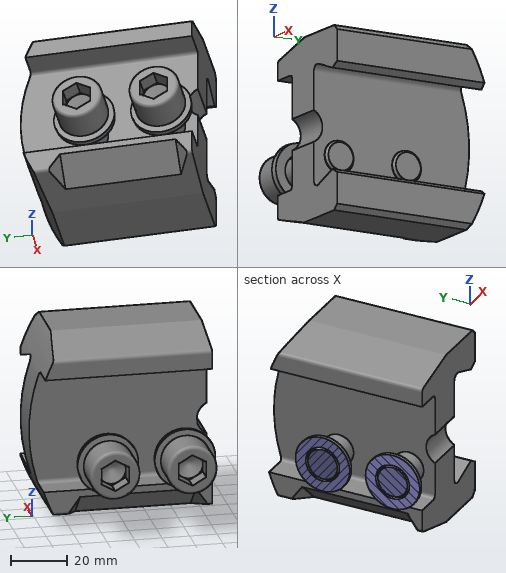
import cadquery as cq
import math

block_height = 68.0
block_width = 41.0
end_radius = 64.5

web_left = 10.0
web_right = 25.0
lip_tip_fillet = 1.5
inner_corner_fillet = 1.5
jaw_root_fillet = 2.25

slope_start = 18.6
slope_angle = 15.0
upper_lip_z = 22.0
lower_lip_z = -20.1

outer_chamfer = 2.0
jaw_angle = 20.0
jaw_lead_angle = 30.0
jaw_corner_z = 20.4
jaw_root_z = 23.25

groove_radius = 6.5
groove_center_y = -3.0

relief_start_z = -22.8
relief_angle = 43.0
relief_length = 42.0
relief_end_y = 6.0
relief_end_run = 0.97
relief_tool_height = 6.8

screw_z = -10.0
first_screw_y = 10.55
screw_pitch = 28.0
screw_count = 2
screw_head_x = -15.9
head_diameter = 18.0
head_length = 12.05
head_fillet = 1.2
shank_diameter = 12.0
shank_length = 30.0
tip_chamfer_radial = 0.8
tip_chamfer_length = 1.35
socket_flats = 10.0
socket_depth = 6.0
socket_point_angle = 120.0

washer_gap = 0.3
washer_outer_radius = 11.0
washer_inner_radius = 6.8
washer_thickness = 2.25
washer_cone_angle = 7.0

head_seat_x = screw_head_x + head_length
screw_ys = [first_screw_y + i * screw_pitch for i in range(screw_count)]


def tan_deg(angle):
    return math.tan(math.radians(angle))


def sin_deg(angle):
    return math.sin(math.radians(angle))


def cos_deg(angle):
    return math.cos(math.radians(angle))


def profile_half(lip_z, side):
    """Corners of one flange, from its left inner corner round to its jaw root; side is +1 up, -1 down."""
    top = block_height / 2
    lip_tip_z = top - slope_start * tan_deg(slope_angle)
    undercut = tan_deg(jaw_angle)
    lead = tan_deg(jaw_lead_angle)
    crest_x = (jaw_root_z - jaw_corner_z + web_right * undercut + block_width * lead) / (undercut + lead)
    crest_z = jaw_corner_z - (block_width - crest_x) * lead
    return [
        (web_left, lip_z),
        (0, lip_z),
        (0, side * lip_tip_z),
        (slope_start, side * top),
        (block_width - outer_chamfer, side * top),
        (block_width, side * (top - outer_chamfer)),
        (block_width, side * jaw_corner_z),
        (crest_x, side * crest_z),
        (web_right, side * jaw_root_z),
    ]


def make_profile_bar():
    upper = profile_half(upper_lip_z, 1)
    lower = profile_half(lower_lip_z, -1)
    bar = cq.Workplane("XZ").polyline(upper + lower[::-1]).close().extrude(-end_radius)
    for half in (upper, lower):
        inner_corner, lip_tip, jaw_root = half[0], half[2], half[-1]
        fillets = (
            (inner_corner, inner_corner_fillet),
            (lip_tip, lip_tip_fillet),
            (jaw_root, jaw_root_fillet),
        )
        for (x, z), radius in fillets:
            edge = cq.selectors.NearestToPointSelector((x, end_radius / 2, z))
            bar = bar.edges("|Y").edges(edge).fillet(radius)
    return bar


def make_relief_tool():
    """Trapezoidal prism that runs along the slanted floor of the relief."""
    plane = cq.Plane(
        origin=(0, relief_end_y + relief_length / 2, relief_start_z),
        xDir=(0, 1, 0),
        normal=(cos_deg(relief_angle), 0, -sin_deg(relief_angle)),
    )
    floor_half = relief_length / 2
    mouth_half = floor_half + relief_tool_height * relief_end_run
    return (
        cq.Workplane(plane)
        .polyline([
            (-floor_half, 0),
            (floor_half, 0),
            (mouth_half, -relief_tool_height),
            (-mouth_half, -relief_tool_height),
        ])
        .close()
        .extrude(web_right, both=True)
    )


def make_block():
    rounded_end = cq.Workplane("YZ").circle(end_radius).extrude(block_width)
    groove = cq.Workplane("YZ").center(groove_center_y, 0).circle(groove_radius).extrude(block_width)
    screw_holes = (
        cq.Workplane("YZ")
        .pushPoints([(y, screw_z) for y in screw_ys])
        .circle(shank_diameter / 2)
        .extrude(block_width)
    )
    return make_profile_bar().intersect(rounded_end).cut(groove).cut(screw_holes).cut(make_relief_tool())


def revolve_about_screw_axis(points, y):
    """Turn an (axial X, radius) outline about the axis of the screw at y."""
    turned = cq.Workplane("XY").polyline(points).close().revolve(360, (0, 0, 0), (1, 0, 0))
    return turned.translate((0, y, screw_z))


def make_screw(y):
    head_r = head_diameter / 2
    shank_r = shank_diameter / 2
    tip_x = head_seat_x + shank_length
    screw = revolve_about_screw_axis([
        (screw_head_x, 0),
        (screw_head_x, head_r),
        (head_seat_x, head_r),
        (head_seat_x, shank_r),
        (tip_x - tip_chamfer_length, shank_r),
        (tip_x, shank_r - tip_chamfer_radial),
        (tip_x, 0),
    ], y)
    screw = screw.faces("<X").edges().fillet(head_fillet)

    hex_diameter = socket_flats / cos_deg(30)
    socket = (
        cq.Workplane("YZ", origin=(screw_head_x, y, screw_z))
        .transformed(rotate=(0, 0, 90))
        .polygon(6, hex_diameter)
        .extrude(socket_depth)
    )
    floor_x = screw_head_x + socket_depth
    point_depth = socket_flats / 2 / tan_deg(socket_point_angle / 2)
    drill_point = revolve_about_screw_axis([
        (floor_x, 0),
        (floor_x, socket_flats / 2),
        (floor_x + point_depth, 0),
    ], y)
    return screw.cut(socket).cut(drill_point)


def make_washer(y):
    cone_rise = (washer_outer_radius - washer_inner_radius) * tan_deg(washer_cone_angle)
    shift_x = washer_thickness * cos_deg(washer_cone_angle)
    shift_r = washer_thickness * sin_deg(washer_cone_angle)
    inner_x = head_seat_x + washer_gap
    outer_x = inner_x + cone_rise
    return revolve_about_screw_axis([
        (inner_x, washer_inner_radius),
        (outer_x, washer_outer_radius),
        (outer_x + shift_x, washer_outer_radius - shift_r),
        (inner_x + shift_x, washer_inner_radius - shift_r),
    ], y)


block = make_block()
screws = [make_screw(y) for y in screw_ys]
washers = [make_washer(y) for y in screw_ys]

result = cq.Compound.makeCompound([
    block.val(),
    *[screw.val() for screw in screws],
    *[washer.val() for washer in washers],
])